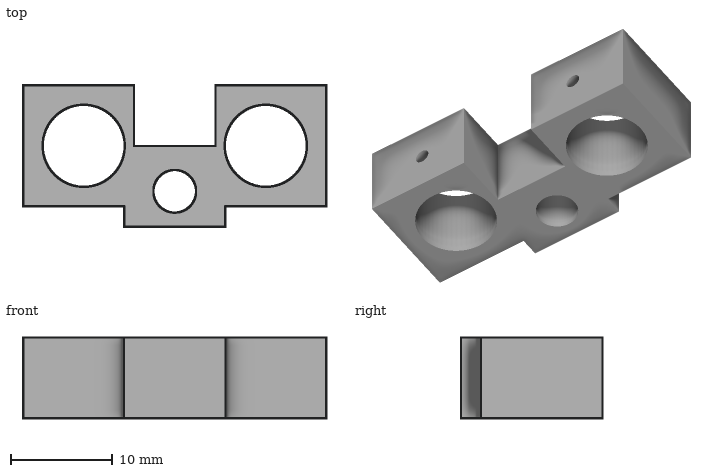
import cadquery as cq

length = 30.0
depth = 14.0
height = 8.0

tab_width = 10.0
tab_depth = 2.0
notch_width = 8.0
notch_depth = 6.0

bore_diameter = 8.1
bore_spacing = 18.0
bore_y = (tab_depth + depth) / 2
center_hole_diameter = 4.2
center_hole_y = 3.5

cross_hole_diameter = 1.5
cross_hole_z = height / 2

bore_centers = [(side * bore_spacing / 2, bore_y) for side in (-1, 1)]


def box_from_front(width, y_start, y_end):
    """Full-height box centred in X, between two Y positions."""
    return (
        cq.Workplane("XY")
        .center(0, (y_start + y_end) / 2)
        .rect(width, y_end - y_start)
        .extrude(height)
    )


def vertical_holes(centers, diameter):
    return cq.Workplane("XY").pushPoints(centers).circle(diameter / 2).extrude(height)


def cross_hole(x, y):
    """Horizontal hole from the bore axis out through the rear face."""
    return (
        cq.Workplane("XZ", origin=(x, y, cross_hole_z))
        .circle(cross_hole_diameter / 2)
        .extrude(-(depth - y))
    )


body = box_from_front(length, tab_depth, depth)
body = body.union(box_from_front(tab_width, 0, depth - notch_depth))
body = body.cut(box_from_front(notch_width, depth - notch_depth, depth))

body = body.cut(vertical_holes(bore_centers, bore_diameter))
body = body.cut(vertical_holes([(0, center_hole_y)], center_hole_diameter))

for x, y in bore_centers:
    body = body.cut(cross_hole(x, y))

result = body